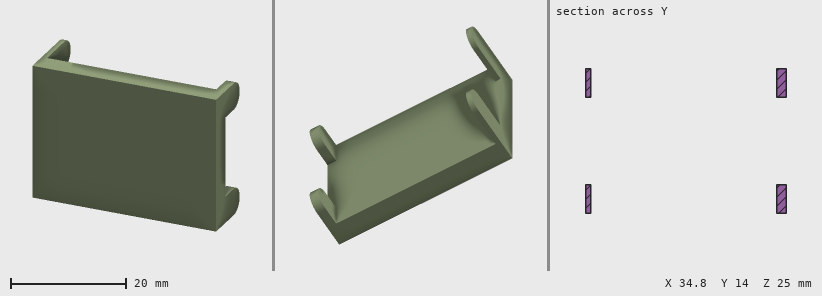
import cadquery as cq

length = 34.75
height = 25.0
plate_thickness = 4.0

tab_height = 5.0
left_tab_thickness = 1.0
left_tab_reach = 10.0
right_tab_thickness = 1.75
right_tab_reach = 6.0


def make_plate():
    return cq.Workplane("XY").box(length, plate_thickness, height, centered=False)


def make_tab(x_start, z_start, thickness, reach):
    """Tab with a fully rounded tip, rooted in the front face of the plate."""
    radius = tab_height / 2
    tip_y = plate_thickness + reach
    arc_start_y = tip_y - radius
    return (
        cq.Workplane("YZ", origin=(x_start, 0, z_start))
        .lineTo(arc_start_y, 0)
        .threePointArc((tip_y, radius), (arc_start_y, tab_height))
        .lineTo(0, tab_height)
        .close()
        .extrude(thickness)
    )


result = make_plate()
for tab_z in (0, height - tab_height):
    left_tab = make_tab(0, tab_z, left_tab_thickness, left_tab_reach)
    right_tab = make_tab(length - right_tab_thickness, tab_z, right_tab_thickness, right_tab_reach)
    result = result.union(left_tab).union(right_tab)